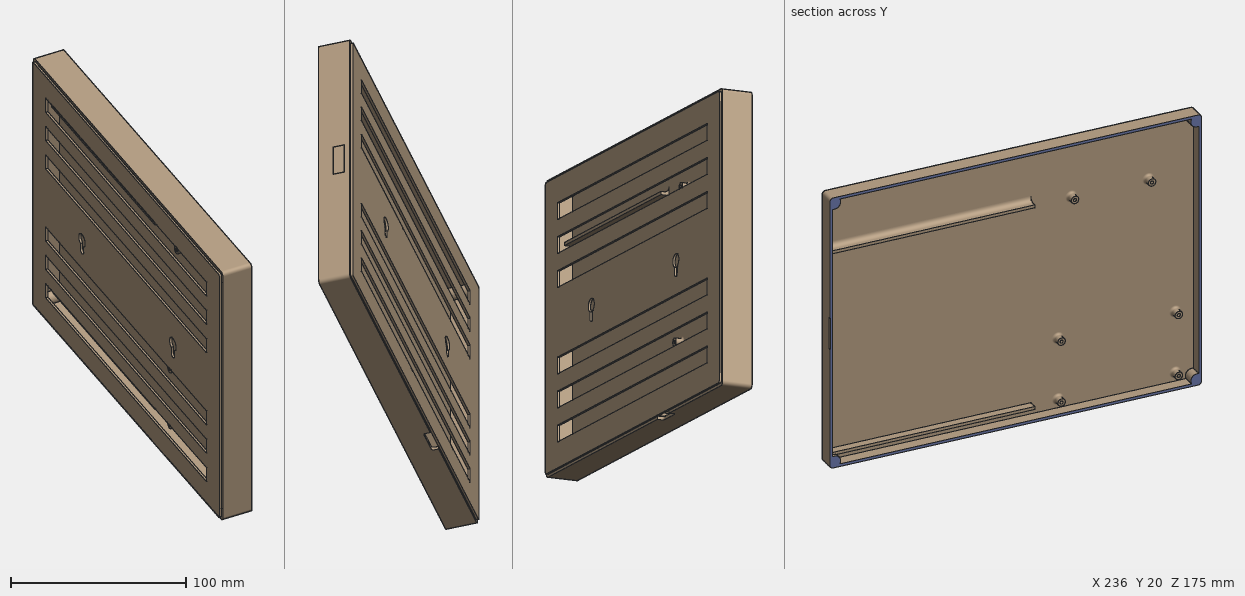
import cadquery as cq

WIDTH = 236.0
DEPTH = 20.0
HEIGHT = 175.0

LID_THICKNESS = 1.5
LID_INSET = 1.7
LID_CORNER_RADIUS = 1.2

WALL = 2.0
FACE_THICKNESS = 2.95
CORNER_RADIUS = 2.4
INNER_CORNER_RADIUS = CORNER_RADIUS - WALL

LID_Y = -DEPTH / 2
RIM_Y = LID_Y + LID_THICKNESS
FLOOR_Y = DEPTH / 2 - FACE_THICKNESS
INNER_LEFT = -WIDTH / 2 + WALL
OVERCUT = 2.4

VENT_LENGTH = 200.1
VENT_HEIGHT = 10.0
VENT_PITCH = 20.0
VENT_FIRST_Z = 25.5
VENTS_PER_GROUP = 3

KEYHOLE_X = (-54.8, 58.3)
KEYHOLE_Z = -0.5
KEYHOLE_HEAD_RADIUS = 4.0
KEYHOLE_SLOT_WIDTH = 3.8
KEYHOLE_DROP = 9.5

BOSS_RADIUS = 2.4
BOSS_HEIGHT = 4.7
BOSS_FILLET = 1.5
BOSS_BORE_RADIUS = 1.0
BOSS_BORE_DEPTH = 3.5
UPPER_BOSSES = [(x, 49.0) for x in (38.7, 87.5)]
LOWER_BOSSES = [(x, z) for x in (30.2, 104.5) for z in (-40.5, -80.0)]

POST_RADIUS = 4.0
POST_X = 115.0
POST_Z = 83.8

RAIL_END_X = 13.0
RAIL_REACH = 5.2
RAIL_THICKNESS = 2.0
UPPER_RAIL_TOP = 52.2
UPPER_RAIL_FILLET = 3.0
LOWER_RAIL_TOP = -78.4

SIDE_RECESS_WIDTH = 6.5
SIDE_RECESS_HEIGHT = 20.0
SIDE_RECESS_Y = -2.1
SIDE_RECESS_SINK = 0.2

NOTCH_X = 38.5
NOTCH_WIDTH = 15.5
NOTCH_DEPTH = 4.0
NOTCH_FILLET = 1.5


def plate(width, height, y_start, y_end, radius):
    """Slab centred in X and Z, with its four corners rounded along Y."""
    depth = y_end - y_start
    slab = cq.Workplane("XY").box(width, depth, height).edges("|Y").fillet(radius)
    return slab.translate((0, y_start + depth / 2, 0))


def facing_rear(y):
    """Sketch plane at depth y: local axes are X and Z, extruding toward -Y."""
    return cq.Workplane("XZ", origin=(0, y, 0))


def make_lid():
    lid = plate(WIDTH - 2 * LID_INSET, HEIGHT - 2 * LID_INSET, LID_Y, RIM_Y, LID_CORNER_RADIUS)

    vent_centers = []
    for side in (1, -1):
        for i in range(VENTS_PER_GROUP):
            vent_centers.append((0, side * (VENT_FIRST_Z + i * VENT_PITCH)))
    vents = facing_rear(RIM_Y).pushPoints(vent_centers).rect(VENT_LENGTH, VENT_HEIGHT)
    lid = lid.cut(vents.extrude(LID_THICKNESS))

    for x in KEYHOLE_X:
        lid = lid.cut(keyhole(x))
    return lid


def keyhole(x):
    """Round head with a narrower, round-ended slot below it."""
    slot_radius = KEYHOLE_SLOT_WIDTH / 2
    slot_run = KEYHOLE_DROP - slot_radius
    head = facing_rear(RIM_Y).center(x, KEYHOLE_Z).circle(KEYHOLE_HEAD_RADIUS)
    slot = facing_rear(RIM_Y).center(x, KEYHOLE_Z - slot_run / 2)
    slot = slot.slot2D(slot_run + KEYHOLE_SLOT_WIDTH, KEYHOLE_SLOT_WIDTH, 90)
    return head.extrude(LID_THICKNESS).union(slot.extrude(LID_THICKNESS))


def boss(x, z):
    """Bored post with a flared foot, standing on the housing floor."""
    foot_radius = BOSS_RADIUS + BOSS_FILLET
    tip_y = FLOOR_Y - BOSS_HEIGHT
    bore_y = tip_y + BOSS_BORE_DEPTH
    flare = 0.5 ** 0.5 * BOSS_FILLET
    profile = (
        cq.Workplane("XY")
        .moveTo(0, FLOOR_Y)
        .lineTo(foot_radius, FLOOR_Y)
        .threePointArc(
            (foot_radius - flare, FLOOR_Y - BOSS_FILLET + flare),
            (BOSS_RADIUS, FLOOR_Y - BOSS_FILLET),
        )
        .lineTo(BOSS_RADIUS, tip_y)
        .lineTo(BOSS_BORE_RADIUS, tip_y)
        .lineTo(BOSS_BORE_RADIUS, bore_y)
        .lineTo(0, bore_y)
        .close()
    )
    return profile.revolve(360, (0, 0, 0), (0, 1, 0)).translate((x, 0, z))


def corner_posts():
    posts = facing_rear(FLOOR_Y).rect(2 * POST_X, 2 * POST_Z, forConstruction=True).vertices()
    posts = posts.circle(POST_RADIUS).extrude(FLOOR_Y - RIM_Y)
    return posts.intersect(plate(WIDTH, HEIGHT, RIM_Y, FLOOR_Y, CORNER_RADIUS))


def rail(top):
    """Horizontal shelf standing out from the housing floor."""
    length = RAIL_END_X - INNER_LEFT
    shelf = cq.Workplane("XY").box(length, RAIL_REACH, RAIL_THICKNESS, centered=False)
    return shelf.translate((INNER_LEFT, FLOOR_Y - RAIL_REACH, top - RAIL_THICKNESS))


def upper_rail_fillet():
    """Concave fillet between the top of the upper rail and the floor."""
    radius = UPPER_RAIL_FILLET
    near_y = FLOOR_Y - radius
    top = UPPER_RAIL_TOP + radius
    arc_offset = 0.5 ** 0.5 * radius
    profile = (
        cq.Workplane("YZ", origin=(INNER_LEFT, 0, 0))
        .moveTo(FLOOR_Y, UPPER_RAIL_TOP)
        .lineTo(near_y, UPPER_RAIL_TOP)
        .threePointArc((near_y + arc_offset, top - arc_offset), (FLOOR_Y, top))
        .close()
    )
    return profile.extrude(RAIL_END_X - INNER_LEFT)


def side_recess():
    cutter = cq.Workplane("XY").box(2 * SIDE_RECESS_SINK, SIDE_RECESS_WIDTH, SIDE_RECESS_HEIGHT)
    return cutter.translate((-WIDTH / 2, SIDE_RECESS_Y, 0))


def rim_notch():
    """Notch open toward -Y, with its two inner corners rounded."""
    length = NOTCH_DEPTH + OVERCUT
    cutter = cq.Workplane("XY").box(NOTCH_WIDTH, length, 2 * WALL)
    cutter = cutter.edges("|Z and >Y").fillet(NOTCH_FILLET)
    return cutter.translate((NOTCH_X, RIM_Y + NOTCH_DEPTH - length / 2, -HEIGHT / 2))


def make_housing():
    housing = plate(WIDTH, HEIGHT, RIM_Y, DEPTH / 2, CORNER_RADIUS)
    cavity = plate(WIDTH - 2 * WALL, HEIGHT - 2 * WALL, RIM_Y, FLOOR_Y, INNER_CORNER_RADIUS)
    housing = housing.cut(cavity)

    housing = housing.union(rail(UPPER_RAIL_TOP))
    housing = housing.union(upper_rail_fillet())
    housing = housing.union(rail(LOWER_RAIL_TOP))
    housing = housing.union(corner_posts())
    for x, z in UPPER_BOSSES + LOWER_BOSSES:
        housing = housing.union(boss(x, z))

    return housing.cut(side_recess()).cut(rim_notch())


housing = make_housing()
lid = make_lid()

result = cq.Compound.makeCompound([housing.val(), lid.val()])